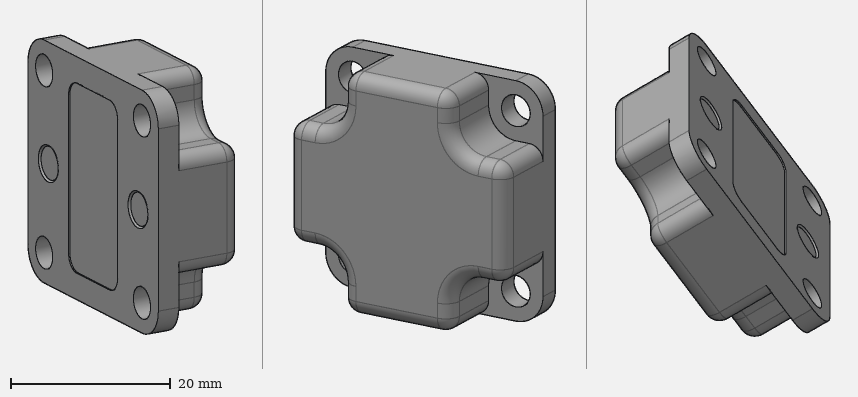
import cadquery as cq
import math

side = 32.0
flange_thickness = 3.0
flange_corner_radius = 4.0
total_depth = 12.0

screw_offset = side / 2 - flange_corner_radius
screw_diameter = 4.2

relief_radius = 4.0
body_corner_radius = 2.0
back_edge_radius = 2.0

recess_width = 12.0
recess_height = 25.0
recess_corner_radius = 2.0
recess_depth = 0.2

socket_offset = 11.0
socket_floor_diameter = 4.35
socket_depth = 0.25
socket_taper = 45.0
socket_mouth_diameter = socket_floor_diameter + 2 * socket_depth * math.tan(math.radians(socket_taper))


def front_plane(depth=0.0):
    """Sketch plane at the given depth, with X right, Z up and its normal toward -Y."""
    return cq.Workplane("XZ", origin=(0, depth, 0))


def make_flange():
    flange = front_plane().rect(side, side).extrude(-flange_thickness)
    flange = flange.edges("|Y").fillet(flange_corner_radius)
    screws = (
        front_plane()
        .rect(2 * screw_offset, 2 * screw_offset, forConstruction=True)
        .vertices()
        .circle(screw_diameter / 2)
        .extrude(-flange_thickness)
    )
    return flange.cut(screws)


def make_body():
    half_side = side / 2
    arm_half_width = screw_offset - relief_radius
    relief_mid = screw_offset - relief_radius * math.sqrt(0.5)
    body_depth = total_depth - flange_thickness
    quarter = (
        front_plane(flange_thickness)
        .lineTo(half_side, 0)
        .lineTo(half_side, arm_half_width)
        .lineTo(screw_offset, arm_half_width)
        .threePointArc((relief_mid, relief_mid), (arm_half_width, screw_offset))
        .lineTo(arm_half_width, half_side)
        .lineTo(0, half_side)
        .close()
        .extrude(-body_depth)
        .edges("|Y and (>X or >Z) and (not <X) and (not <Z)")
        .fillet(body_corner_radius)
    )
    half = quarter.union(quarter.mirror("YZ"))
    body = half.union(half.mirror("XY")).clean()
    return body.faces(">Y").edges().fillet(back_edge_radius)


def make_recess():
    recess = front_plane().rect(recess_width, recess_height).extrude(-recess_depth)
    return recess.edges("|Y").fillet(recess_corner_radius)


def make_sockets():
    return (
        front_plane()
        .pushPoints([(-socket_offset, 0), (socket_offset, 0)])
        .circle(socket_mouth_diameter / 2)
        .extrude(-socket_depth, taper=socket_taper)
    )


result = make_flange().union(make_body()).cut(make_recess()).cut(make_sockets())